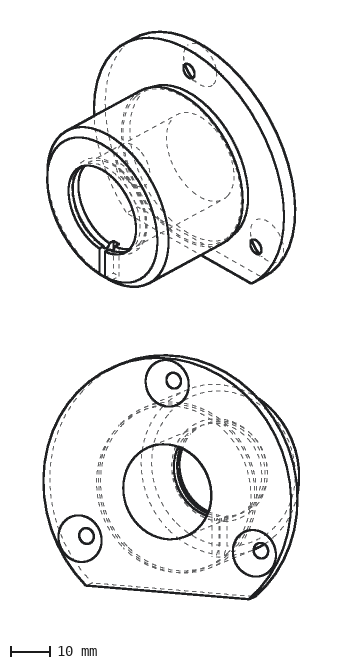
import cadquery as cq
import math

flange_diameter = 69.0
total_length = 34.8
total_height = 60.5
flange_thickness = 4.0

barrel_diameter = 44.0
neck_diameter = 43.0
neck_length = 2.4
end_chamfer = 2.0
bore_diameter = 24.5

groove_diameter = 2.0
groove_from_end = 2.5

slot_width = 2.0
slot_depth = 5.0

hole_diameter = 4.0
hole_circle_radius = 28.0
hole_count = 3
hole_back_diameter = hole_diameter + 2 * flange_thickness

flange_front = total_length - flange_thickness
flat_z = flange_diameter / 2 - total_height


def cylinder(diameter, start, length):
    """Cylinder along +Y from y = start."""
    plane = cq.Workplane(cq.Plane((0, start, 0), (1, 0, 0), (0, 1, 0)))
    return plane.circle(diameter / 2).extrude(length)


def make_flange():
    """Round flange with a flat along the bottom."""
    disc = cylinder(flange_diameter, flange_front, flange_thickness)
    keep = cq.Workplane("XY").box(
        flange_diameter, total_length, total_height, centered=(True, False, False)
    )
    return disc.intersect(keep.translate((0, 0, flat_z)))


def make_barrel():
    """Barrel with a chamfered free end and a relief neck at the flange."""
    barrel_length = flange_front - neck_length
    barrel = cylinder(barrel_diameter, 0, barrel_length)
    barrel = barrel.faces("<Y").chamfer(end_chamfer)
    return barrel.union(cylinder(neck_diameter, barrel_length, neck_length))


def make_groove():
    """Ring with a round section centred on the bore wall."""
    ring = cq.Solid.makeTorus(
        bore_diameter / 2,
        groove_diameter / 2,
        cq.Vector(0, groove_from_end, 0),
        cq.Vector(0, 1, 0),
    )
    return cq.Workplane(ring)


def make_slot():
    """Slot running from the bore axis out through the bottom of the barrel."""
    slot = cq.Workplane("XY").box(
        slot_width, slot_depth, barrel_diameter / 2, centered=(True, False, False)
    )
    return slot.translate((0, 0, -barrel_diameter / 2))


result = make_flange().union(make_barrel())
result = result.cut(cylinder(bore_diameter, 0, total_length))
result = result.cut(make_groove()).cut(make_slot())

for index in range(hole_count):
    angle = math.pi / 2 + index * 2 * math.pi / hole_count
    hole_x = hole_circle_radius * math.cos(angle)
    hole_z = hole_circle_radius * math.sin(angle)
    countersink = cq.Solid.makeCone(
        hole_diameter / 2,
        hole_back_diameter / 2,
        flange_thickness,
        cq.Vector(hole_x, flange_front, hole_z),
        cq.Vector(0, 1, 0),
    )
    result = result.cut(cq.Workplane(countersink))